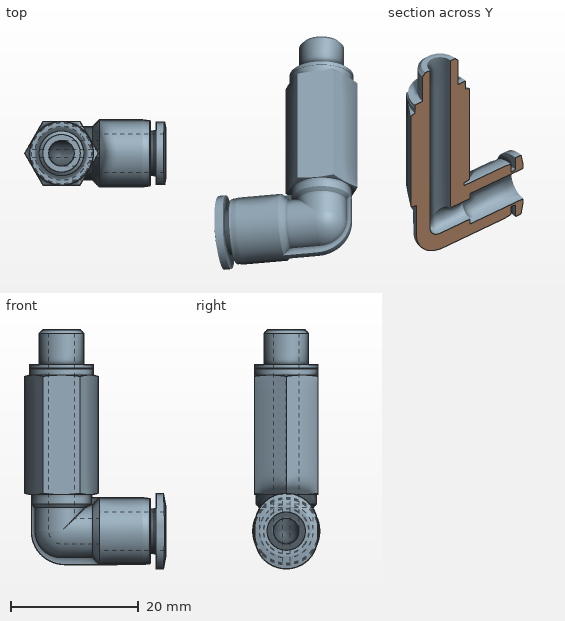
import cadquery as cq
import math


button_diameter = 9.8
button_flat = 2.02
button_height = button_diameter + button_flat
button_start = 14.77
button_end = 16.3
button_edge = 15.95
button_face_radius = 3.95
neck_diameter = 7.0
neck_shoulder_diameter = 7.15
neck_shoulder_start = 14.47

body_diameter = 10.5
body_end_diameter = 10.3
body_cone_start = 4.85
body_cone_end = 5.9
body_taper_start = 12.68
body_taper_end = 13.45
body_rim_start = 13.75
body_end = 13.9
body_rim_chamfer = body_end - body_rim_start
tube_diameter = 6.0
tube_stop = body_cone_end

elbow_radius = 4.2
collar_diameter = 9.45
collar_bottom = 4.23
collar_cone_bottom = 3.65
rib_thickness = 1.25

overall_height = 37.4
stem_top = overall_height - button_height / 2
thread_diameter = 7.0
thread_chamfer = 0.55
hex_flats = 10.0
hex_bottom = 5.72
hex_top = 24.4
hex_chamfer_angle = 15.0
flange_top = 26.03
flange_groove_bottom = 25.35
flange_groove_width = 0.1
flange_groove_depth = 0.07
bore_diameter = 4.0


def cylinder_x(diameter, start, end):
    """Cylinder along the tube socket axis."""
    return cq.Workplane("YZ", origin=(start, 0, 0)).circle(diameter / 2).extrude(end - start)


def cylinder_z(diameter, bottom, top):
    """Cylinder along the stem axis."""
    return cq.Workplane("XY", origin=(0, 0, bottom)).circle(diameter / 2).extrude(top - bottom)


def turned_x(outline):
    """Solid turned about X from (x, radius) points; the ends close on the axis."""
    return cq.Workplane("XZ").polyline(outline).close().revolve(360, (0, 0, 0), (1, 0, 0))


def turned_z(outline):
    """Solid turned about Z from (radius, z) points; the ends close on the axis."""
    return cq.Workplane("XZ").polyline(outline).close().revolve(360, (0, 0, 0), (0, 1, 0))


def make_elbow():
    """Two equal cylinders joined by a ball, with a conical collar under the hexagon."""
    elbow = cylinder_z(2 * elbow_radius, 0, collar_bottom)
    elbow = elbow.union(cylinder_x(2 * elbow_radius, 0, body_cone_start))
    elbow = elbow.union(cq.Workplane("XY").sphere(elbow_radius))
    collar = turned_z([
        (0, collar_cone_bottom),
        (elbow_radius, collar_cone_bottom),
        (collar_diameter / 2, collar_bottom),
        (collar_diameter / 2, hex_bottom),
        (0, hex_bottom),
    ])
    return elbow.union(collar)


def make_rib():
    """Central web flush with the collar and the socket, rounded at the outer corner."""
    left = -collar_diameter / 2
    radius = body_diameter / 2
    arc_center = left + radius
    arc_reach = radius * math.sqrt(0.5)
    return (
        cq.Workplane("XZ")
        .moveTo(left, collar_bottom)
        .lineTo(left, 0)
        .threePointArc((arc_center - arc_reach, -arc_reach), (arc_center, -radius))
        .lineTo(body_cone_end, -radius)
        .lineTo(body_cone_end, radius)
        .lineTo(0, radius)
        .lineTo(0, collar_bottom)
        .close()
        .extrude(rib_thickness / 2, both=True)
    )


def make_socket():
    """Tube socket with a cone at the elbow and a slightly tapered, chamfered mouth."""
    return turned_x([
        (body_cone_start, 0),
        (body_cone_start, elbow_radius),
        (body_cone_end, body_diameter / 2),
        (body_taper_start, body_diameter / 2),
        (body_taper_end, body_end_diameter / 2),
        (body_rim_start, body_end_diameter / 2),
        (body_end, body_end_diameter / 2 - body_rim_chamfer),
        (body_end, 0),
    ])


def make_button():
    """Obround release button whose outer face is a shallow cone."""
    plate = (
        cq.Workplane("YZ", origin=(button_start, 0, 0))
        .slot2D(button_height, button_diameter, 90)
        .extrude(button_end - button_start)
    )
    face_cone = turned_x([
        (button_start, 0),
        (button_start, button_height / 2),
        (button_edge, button_height / 2),
        (button_end, button_face_radius),
        (button_end, 0),
    ])
    neck = cylinder_x(neck_diameter, body_end, button_start)
    shoulder = cylinder_x(neck_shoulder_diameter, neck_shoulder_start, button_start)
    return plate.intersect(face_cone).union(neck).union(shoulder)


def make_hexagon():
    """Hexagon with corners on the X axis and both ends chamfered by a cone."""
    corner_radius = hex_flats / math.sqrt(3)
    flat_radius = hex_flats / 2
    corner_drop = (corner_radius - flat_radius) * math.tan(math.radians(hex_chamfer_angle))
    prism = (
        cq.Workplane("XY", origin=(0, 0, hex_bottom))
        .polygon(6, 2 * corner_radius)
        .extrude(hex_top - hex_bottom)
    )
    chamfer_cones = turned_z([
        (0, hex_bottom),
        (flat_radius, hex_bottom),
        (corner_radius, hex_bottom + corner_drop),
        (corner_radius, hex_top - corner_drop),
        (flat_radius, hex_top),
        (0, hex_top),
    ])
    return prism.intersect(chamfer_cones)


def make_stem():
    """Hexagon, grooved sealing flange and plain thread with a chamfered tip."""
    flange = cylinder_z(hex_flats, hex_top, flange_top)
    groove_top = flange_groove_bottom + flange_groove_width
    groove = cylinder_z(hex_flats, flange_groove_bottom, groove_top).cut(
        cylinder_z(hex_flats - 2 * flange_groove_depth, flange_groove_bottom, groove_top)
    )
    thread = cylinder_z(thread_diameter, flange_top, stem_top).faces(">Z").chamfer(thread_chamfer)
    return make_hexagon().union(flange.cut(groove)).union(thread)


def make_bore():
    """Flow passage turning the corner on a ball, widening to the tube seat."""
    passage = cylinder_z(bore_diameter, 0, stem_top)
    passage = passage.union(cylinder_x(bore_diameter, 0, tube_stop))
    passage = passage.union(cq.Workplane("XY").sphere(bore_diameter / 2))
    return passage.union(cylinder_x(tube_diameter, tube_stop, button_end))


solid_fitting = make_elbow().union(make_rib()).union(make_socket()).union(make_button()).union(make_stem())
result = solid_fitting.cut(make_bore())